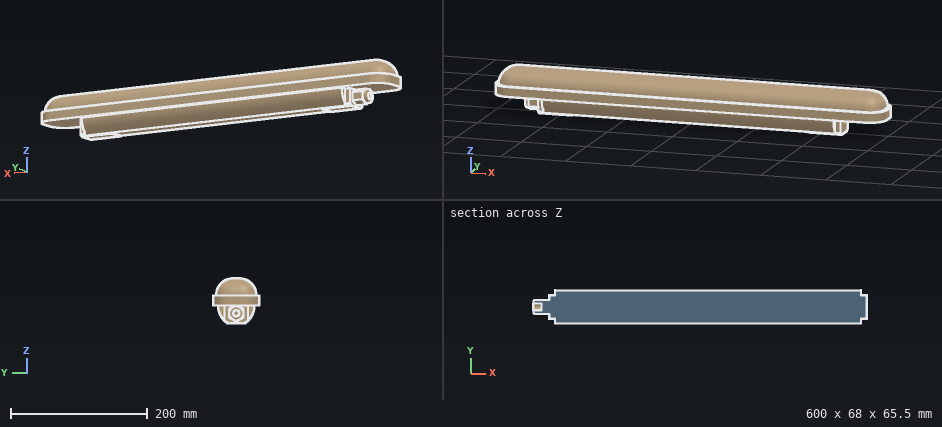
import cadquery as cq
import math

length = 600.0
width = 68.0
rim_height = 15.0
rim_corner = 26.0

ledge = 4.0
cover_height = 25.0
cover_draft = 2.0
cover_corner = 21.5
cover_round = 25.0

housing_depth = 24.5
housing_left = -233.0
housing_right = 232.0
housing_half_width = 27.0
housing_bottom_half_width = 14.5
flank_half_width = 23.0
flank_z = -15.0
bevel_z = -22.0
end_half_width = 17.5
end_length = 8.5

pad_length = 51.0
pad_width = 26.5
pad_thickness = 1.0

gland_z = -11.1
nut_across_flats = 21.0
nut_length = 17.5
cap_diameter = 21.0
cap_length = 6.0
cap_round = 3.0
bore_diameter = 9.0
bore_depth = 12.0


def make_rim():
    plate = cq.Workplane("XY").box(length, width, rim_height, centered=(True, True, False))
    return plate.edges("|Z").fillet(rim_corner)


def make_cover():
    block = (
        cq.Workplane("XY", origin=(0, 0, rim_height))
        .rect(length - 2 * ledge, width - 2 * ledge)
        .extrude(cover_height, taper=cover_draft)
    )
    drafted_corners = "not(|X or |Y)"
    rounded_plan = block.edges(drafted_corners).fillet(cover_corner)
    return rounded_plan.faces(">Z").edges().fillet(cover_round)


def full_section(plane):
    """Housing section with two curved flanks and a bevelled bottom."""
    return (
        plane.moveTo(-housing_half_width, 0)
        .threePointArc((-flank_half_width, flank_z), (-end_half_width, bevel_z))
        .lineTo(-housing_bottom_half_width, -housing_depth)
        .lineTo(housing_bottom_half_width, -housing_depth)
        .lineTo(end_half_width, bevel_z)
        .threePointArc((flank_half_width, flank_z), (housing_half_width, 0))
        .close()
    )


def end_section(plane):
    """Narrower end block section with upright sides in place of the curved flanks."""
    return (
        plane.moveTo(-end_half_width, 0)
        .lineTo(-end_half_width, bevel_z)
        .lineTo(-housing_bottom_half_width, -housing_depth)
        .lineTo(housing_bottom_half_width, -housing_depth)
        .lineTo(end_half_width, bevel_z)
        .lineTo(end_half_width, 0)
        .close()
    )


def make_housing():
    main_left = housing_left + end_length
    main_right = housing_right - end_length
    main = full_section(cq.Workplane("YZ", origin=(main_left, 0, 0))).extrude(main_right - main_left)
    for block_left in (housing_left, main_right):
        block = end_section(cq.Workplane("YZ", origin=(block_left, 0, 0))).extrude(end_length)
        main = main.union(block)
    return main


def make_pads():
    inset = pad_length / 2
    return (
        cq.Workplane("XY", origin=(0, 0, -housing_depth))
        .pushPoints([(housing_left + inset, 0), (housing_right - inset, 0)])
        .rect(pad_length, pad_width)
        .extrude(-pad_thickness)
    )


def make_gland():
    across_corners = nut_across_flats / math.cos(math.pi / 6)
    nut = (
        cq.Workplane("YZ", origin=(housing_left, 0, gland_z))
        .transformed(rotate=(0, 0, 90))
        .polygon(6, across_corners)
        .extrude(-nut_length)
    )
    cap = (
        cq.Workplane("YZ", origin=(housing_left - nut_length, 0, gland_z))
        .circle(cap_diameter / 2)
        .extrude(-cap_length)
        .faces("<X")
        .edges()
        .fillet(cap_round)
    )
    bore = (
        cq.Workplane("YZ", origin=(housing_left - nut_length - cap_length, 0, gland_z))
        .circle(bore_diameter / 2)
        .extrude(bore_depth)
    )
    return nut.union(cap).cut(bore)


result = make_rim().union(make_cover()).union(make_housing()).union(make_pads()).union(make_gland())